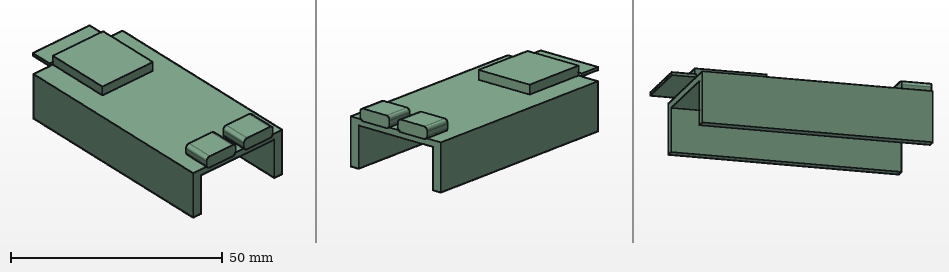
import cadquery as cq

total_length = 63.7
total_height = 15.8

channel_width = 28.2
channel_height = 12.6
wall_thickness = 2.5
top_thickness = 1.7

card_overhang = 6.0
card_width = 18.0
card_thickness = 0.75
slot_length = 17.7
slot_width = 15.95
slot_height = 2.5

port_length = 7.4
port_width = 9.2
port_spacing = 11.8
port_overhang = 0.75
port_radius = 1.0

channel_start = card_overhang
channel_length = total_length - card_overhang - port_overhang
port_height = total_height - channel_height
port_start = total_length - port_length


def block(start, length, width, bottom, height):
    """Box centred on Y = 0, with its low X end and underside as given."""
    return (
        cq.Workplane("XY")
        .box(length, width, height, centered=(False, True, False))
        .translate((start, 0, bottom))
    )


def make_port(y_center):
    """Port block with its four lengthwise edges rounded."""
    port = block(port_start, port_length, port_width, channel_height, port_height)
    return port.edges("|X").fillet(port_radius).translate((0, y_center, 0))


def make_board():
    """Channel with the card slot and both ports formed on its top."""
    board = block(channel_start, channel_length, channel_width, 0, channel_height)
    inner_width = channel_width - 2 * wall_thickness
    inner_height = channel_height - top_thickness
    board = board.cut(block(channel_start, channel_length, inner_width, 0, inner_height))
    board = board.union(block(channel_start, slot_length, slot_width, channel_height, slot_height))
    for side in (-1, 1):
        board = board.union(make_port(side * port_spacing / 2))
    return board


def make_card():
    """Card that projects from the end of the slot, level with the channel top."""
    return block(0, card_overhang, card_width, channel_height, card_thickness)


board = make_board()
card = make_card()

result = cq.Compound.makeCompound([board.val(), card.val()])